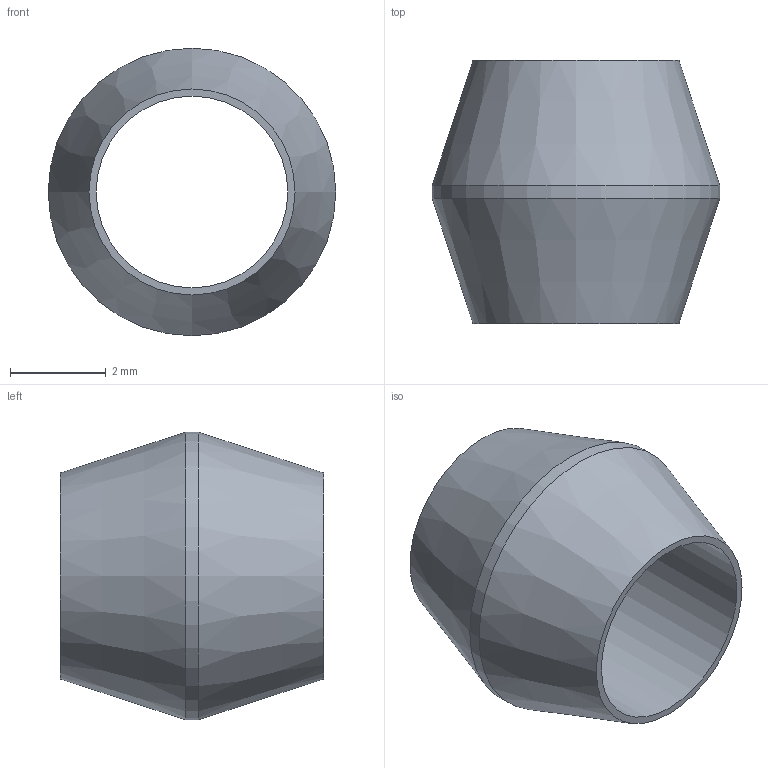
import cadquery as cq

length = 5.5
outer_diameter = 6.0
bore_diameter = 4.0
end_diameter = 4.3
band_width = 0.27

half_length = length / 2
half_band = band_width / 2
outer_radius = outer_diameter / 2
bore_radius = bore_diameter / 2
end_radius = end_diameter / 2


def ring_section():
    """Wall section in the XY plane, at +X from the Y axis."""
    return (
        cq.Workplane("XY")
        .moveTo(bore_radius, -half_length)
        .lineTo(end_radius, -half_length)
        .lineTo(outer_radius, -half_band)
        .lineTo(outer_radius, half_band)
        .lineTo(end_radius, half_length)
        .lineTo(bore_radius, half_length)
        .close()
    )


result = ring_section().revolve(360, (0, 0, 0), (0, 1, 0))